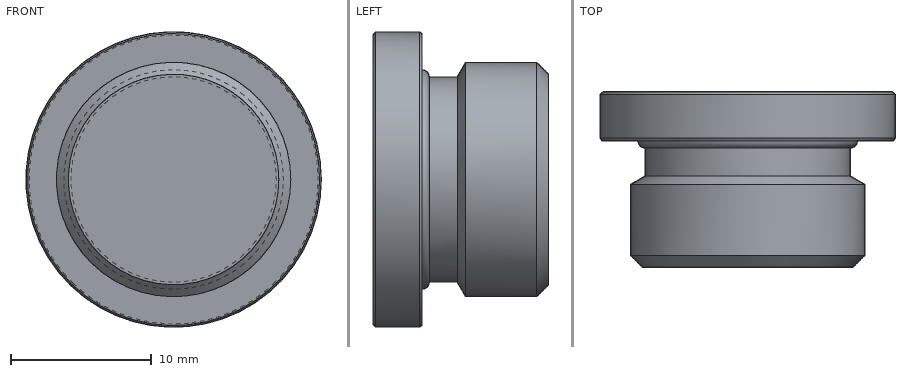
import cadquery as cq
import math

head_diameter = 21.0
head_thickness = 3.5
head_edge_depth = 0.2
outer_edge_width = 0.23
inner_edge_width = 0.13

neck_diameter = 14.6
collar_round = 0.5

body_diameter = 16.65
body_shoulder_angle = 30.0
body_end_diameter = 14.95

total_length = 12.5
body_length = 5.9

head_radius = head_diameter / 2
neck_radius = neck_diameter / 2
body_radius = body_diameter / 2
body_end_radius = body_end_diameter / 2
body_end_chamfer = body_radius - body_end_radius

head_underside = -head_thickness
body_end = -total_length
body_start = body_end + body_length
shoulder_length = (body_radius - neck_radius) * math.tan(math.radians(body_shoulder_angle))
neck_end = body_start + shoulder_length

arc_mid_offset = collar_round * math.sqrt(0.5)

profile = (
    cq.Workplane("XY")
    .moveTo(0, 0)
    .lineTo(head_radius - outer_edge_width, 0)
    .lineTo(head_radius, -head_edge_depth)
    .lineTo(head_radius, head_underside + head_edge_depth)
    .lineTo(head_radius - inner_edge_width, head_underside)
    .lineTo(neck_radius + collar_round, head_underside)
    .threePointArc(
        (neck_radius + arc_mid_offset, head_underside - arc_mid_offset),
        (neck_radius, head_underside - collar_round),
    )
    .lineTo(neck_radius, neck_end)
    .lineTo(body_radius, body_start)
    .lineTo(body_radius, body_end + body_end_chamfer)
    .lineTo(body_end_radius, body_end)
    .lineTo(0, body_end)
    .close()
)

result = profile.revolve(360, (0, 0, 0), (0, 1, 0))